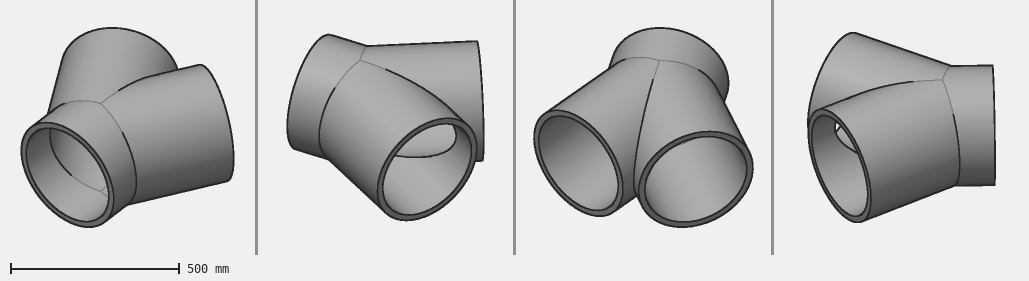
import cadquery as cq
import math

outer_diameter = 355.5
bore_diameter = 317.0
stem_length = 152.5
overall_width = 663.5
branch_angle = 30.0

tilt = math.radians(branch_angle)
branch_length = (overall_width / 2 - outer_diameter / 2 * math.cos(tilt)) / math.sin(tilt)

reach = 3 * outer_diameter
miter_drop = reach * math.tan(tilt / 2)


def trimming_prism(points):
    """Tall prism over an XY outline, spanning the full pipe height."""
    return cq.Workplane("XY").polyline(points).close().extrude(reach / 2, both=True)


def cylinder_along_y(diameter, start, end):
    """Cylinder on the Y axis between two Y positions."""
    axis = cq.Vector(0, 1, 0)
    solid = cq.Solid.makeCylinder(diameter / 2, end - start, cq.Vector(0, start, 0), axis)
    return cq.Workplane(obj=solid)


def stem(diameter):
    """Stem cylinder, ended by the two miter planes shared with the branches."""
    region = trimming_prism([
        (0, 0),
        (reach, -miter_drop),
        (reach, -reach),
        (-reach, -reach),
        (-reach, -miter_drop),
    ])
    return cylinder_along_y(diameter, -stem_length, diameter).intersect(region)


def right_branch(diameter):
    """Branch on the +X side, trimmed by the stem miter and the symmetry plane."""
    region = trimming_prism([
        (0, 0),
        (reach, -miter_drop),
        (reach, reach),
        (0, reach),
    ])
    straight = cylinder_along_y(diameter, -diameter, branch_length)
    return straight.rotate((0, 0, 0), (0, 0, 1), -branch_angle).intersect(region)


def y_body(diameter):
    """Solid Y made of three mitred cylinders of one diameter."""
    right = right_branch(diameter)
    left = right.mirror("YZ")
    return stem(diameter).union(right).union(left)


result = y_body(outer_diameter).cut(y_body(bore_diameter))